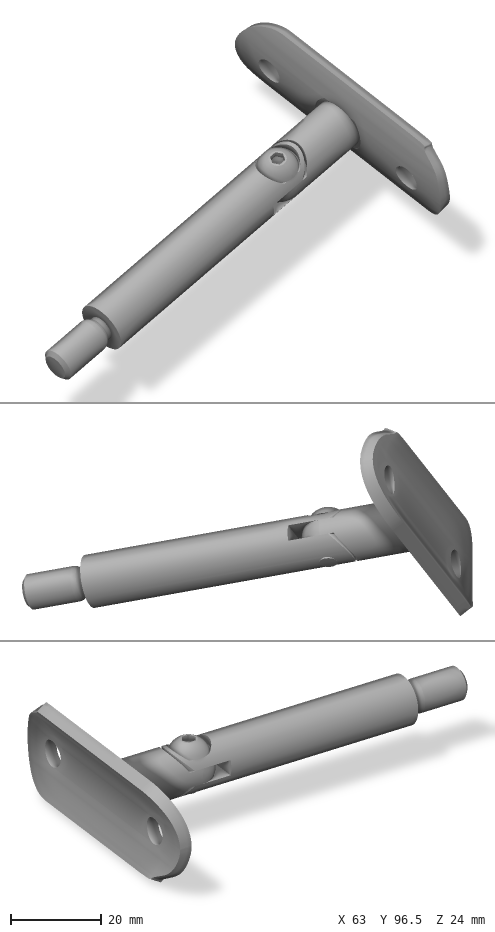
import cadquery as cq
import math


PLATE_LENGTH = 63.0
PLATE_HEIGHT = 24.0
PLATE_OUTER_RADIUS = 24.2
PLATE_THICKNESS = 3.0
PLATE_END_RADIUS = 12.0
END_CURVE_STEPS = 8
PLATE_APEX_Y = 19.3
PLATE_HOLE_DIAMETER = 6.5
PLATE_HOLE_SPACING = 42.0
SEAT_DIAMETER = 13.9
SEAT_DEPTH = 0.6

POST_DIAMETER = 12.0
TONGUE_THICKNESS = 3.9
SHOULDER_RADIUS = 6.6
FORK_END_Y = -56.5
SLOT_FLOOR_Y = -7.4
HEAD_RECESS_DIAMETER = 10.0
HEAD_RECESS_Z = 4.1

HEAD_DIAMETER = 9.5
HEAD_FLAT_DIAMETER = 4.1
HEAD_HEIGHT = 2.9
SHANK_DIAMETER = 4.1
SOCKET_WIDTH = 3.0
SOCKET_DEPTH = 1.5
SOCKET_POINT_ANGLE = 120

STUD_DIAMETER = 8.0
STUD_END_Y = -71.4
STUD_TIP_DIAMETER = 6.0
STUD_TIP_CHAMFER = 0.9
NECK_DIAMETER = 6.0
NECK_LENGTH = 1.1
NECK_CONE_DIAMETER = 7.3
NECK_CONE_LENGTH = 0.9
STUD_ROUNDING_LENGTH = 1.2
STUD_INSERT_DEPTH = 10.0

POST_RADIUS = POST_DIAMETER / 2
SEAT_Y = PLATE_APEX_Y + SEAT_DEPTH
SHANK_END_Z = -POST_RADIUS
HEAD_TOP_Z = HEAD_RECESS_Z + HEAD_HEIGHT


def rod_y(diameter, y_low, y_high):
    """Round rod along the post axis."""
    plane = cq.Workplane("XZ", origin=(0, y_low, 0))
    return plane.circle(diameter / 2).extrude(y_low - y_high)


def disc_z(diameter, z_low, z_high):
    """Round disc about the screw axis."""
    return cq.Workplane("XY").workplane(offset=z_low).circle(diameter / 2).extrude(z_high - z_low)


def wedge_outline(distance):
    """Plate outline, projected from the bend axis to a plane at the given distance from it.

    The unbent strip has round ends, so an end point's bend angle follows the sine of its position.
    """
    half_bend = math.asin(PLATE_HEIGHT / 2 / PLATE_OUTER_RADIUS)
    straight_end = PLATE_LENGTH / 2 - PLATE_END_RADIUS
    half_height = distance * math.tan(half_bend)
    right_end = []
    for step in range(END_CURVE_STEPS + 1):
        turn = math.pi * (step / END_CURVE_STEPS - 0.5)
        x = straight_end + PLATE_END_RADIUS * math.cos(turn)
        z = distance * math.tan(half_bend * math.sin(turn))
        right_end.append((x, z))
    left_end = [(-x, -z) for x, z in right_end]
    return (
        cq.Workplane("XZ", origin=(0, PLATE_APEX_Y + PLATE_OUTER_RADIUS - distance, 0))
        .moveTo(-straight_end, -half_height)
        .lineTo(straight_end, -half_height)
        .spline(right_end[1:], tangents=[(1, 0), (-1, 0)], includeCurrent=True)
        .lineTo(-straight_end, half_height)
        .spline(left_end[1:], tangents=[(-1, 0), (1, 0)], includeCurrent=True)
        .wire()
        .val()
    )


def make_radial_wedge():
    """Block whose rim runs along rays from the bend axis, as on a bent strip."""
    far_distance = PLATE_OUTER_RADIUS + PLATE_THICKNESS
    near_distance = far_distance / 2
    wires = [wedge_outline(near_distance), wedge_outline(far_distance)]
    return cq.Workplane(cq.Solid.makeLoft(wires, ruled=True))


def make_plate():
    center_y = PLATE_APEX_Y + PLATE_OUTER_RADIUS
    shell = (
        cq.Workplane("YZ", origin=(-PLATE_LENGTH / 2, center_y, 0))
        .circle(PLATE_OUTER_RADIUS)
        .circle(PLATE_OUTER_RADIUS - PLATE_THICKNESS)
        .extrude(PLATE_LENGTH)
    )
    front_plane = cq.Workplane("XZ", origin=(0, PLATE_APEX_Y, 0))
    holes = (
        front_plane.rarray(PLATE_HOLE_SPACING, 1, 2, 1)
        .circle(PLATE_HOLE_DIAMETER / 2)
        .extrude(-PLATE_OUTER_RADIUS)
    )
    seat = rod_y(SEAT_DIAMETER, PLATE_APEX_Y, SEAT_Y)
    return shell.intersect(make_radial_wedge()).cut(holes).cut(seat)


def make_stub():
    half_thickness = TONGUE_THICKNESS / 2
    rod = rod_y(POST_DIAMETER, 0, SEAT_Y)
    upper_clearance = disc_z(2 * SHOULDER_RADIUS, half_thickness, POST_RADIUS)
    lower_clearance = disc_z(2 * SHOULDER_RADIUS, -POST_RADIUS, -half_thickness)
    tongue_slab = disc_z(POST_DIAMETER, -half_thickness, half_thickness)
    tongue_end = cq.Workplane("XY").sphere(POST_RADIUS).intersect(tongue_slab)
    bore = disc_z(SHANK_DIAMETER, -half_thickness, half_thickness)
    return rod.cut(upper_clearance).cut(lower_clearance).union(tongue_end).cut(bore)


def make_fork():
    round_end = disc_z(POST_DIAMETER, -POST_RADIUS, POST_RADIUS)
    straight = (
        cq.Workplane("XY")
        .box(POST_DIAMETER, -FORK_END_Y, POST_DIAMETER, centered=(True, True, True))
        .translate((0, FORK_END_Y / 2, 0))
    )
    body = rod_y(POST_DIAMETER, FORK_END_Y, POST_RADIUS).intersect(straight.union(round_end))
    slot_length = POST_RADIUS - SLOT_FLOOR_Y
    slot = (
        cq.Workplane("XY", origin=(0, SLOT_FLOOR_Y, 0))
        .box(POST_DIAMETER, slot_length, TONGUE_THICKNESS, centered=(True, False, True))
    )
    head_recess = disc_z(HEAD_RECESS_DIAMETER, HEAD_RECESS_Z, POST_RADIUS)
    bore = disc_z(SHANK_DIAMETER, -POST_RADIUS, POST_RADIUS)
    stud_hole = rod_y(NECK_DIAMETER, FORK_END_Y, FORK_END_Y + STUD_INSERT_DEPTH)
    return body.cut(slot).cut(head_recess).cut(bore).cut(stud_hole)


def make_screw():
    head_radius = HEAD_DIAMETER / 2
    flat_radius = HEAD_FLAT_DIAMETER / 2
    sphere_drop = (head_radius**2 - flat_radius**2 - HEAD_HEIGHT**2) / (2 * HEAD_HEIGHT)
    sphere_radius = math.hypot(head_radius, sphere_drop)
    mid_radius = (head_radius + flat_radius) / 2
    mid_z = HEAD_RECESS_Z - sphere_drop + math.sqrt(sphere_radius**2 - mid_radius**2)
    screw = (
        cq.Workplane("XZ")
        .moveTo(0, SHANK_END_Z)
        .lineTo(SHANK_DIAMETER / 2, SHANK_END_Z)
        .lineTo(SHANK_DIAMETER / 2, HEAD_RECESS_Z)
        .lineTo(head_radius, HEAD_RECESS_Z)
        .threePointArc((mid_radius, mid_z), (flat_radius, HEAD_TOP_Z))
        .lineTo(0, HEAD_TOP_Z)
        .close()
        .revolve(360, (0, 0, 0), (0, 1, 0))
    )
    return screw.cut(make_socket())


def make_socket():
    """Hexagon socket with a drill point at its bottom."""
    floor_z = HEAD_TOP_Z - SOCKET_DEPTH
    hexagon = (
        cq.Workplane("XY")
        .workplane(offset=floor_z)
        .polygon(6, SOCKET_WIDTH, circumscribed=True)
        .extrude(SOCKET_DEPTH)
    )
    point_radius = SOCKET_WIDTH / 2
    point_depth = point_radius / math.tan(math.radians(SOCKET_POINT_ANGLE / 2))
    point = cq.Solid.makeCone(0, point_radius, point_depth, cq.Vector(0, 0, floor_z - point_depth))
    return hexagon.union(cq.Workplane(point))


def make_stud():
    neck_radius = NECK_DIAMETER / 2
    cone_radius = NECK_CONE_DIAMETER / 2
    stud_radius = STUD_DIAMETER / 2
    insert_y = FORK_END_Y + STUD_INSERT_DEPTH
    cone_start_y = FORK_END_Y - NECK_LENGTH
    cone_end_y = cone_start_y - NECK_CONE_LENGTH
    full_y = cone_end_y - STUD_ROUNDING_LENGTH
    rounding_rise = stud_radius - cone_radius
    rounding_radius = (STUD_ROUNDING_LENGTH**2 + rounding_rise**2) / (2 * rounding_rise)
    half_angle = math.asin(STUD_ROUNDING_LENGTH / rounding_radius) / 2
    rounding_middle = (
        stud_radius - rounding_radius * (1 - math.cos(half_angle)),
        full_y + rounding_radius * math.sin(half_angle),
    )
    return (
        cq.Workplane("XY")
        .moveTo(0, insert_y)
        .lineTo(neck_radius, insert_y)
        .lineTo(neck_radius, cone_start_y)
        .lineTo(cone_radius, cone_end_y)
        .threePointArc(rounding_middle, (stud_radius, full_y))
        .lineTo(stud_radius, STUD_END_Y + STUD_TIP_CHAMFER)
        .lineTo(STUD_TIP_DIAMETER / 2, STUD_END_Y)
        .lineTo(0, STUD_END_Y)
        .close()
        .revolve(360, (0, 0, 0), (0, 1, 0))
    )


plate = make_plate()
stub = make_stub()
fork = make_fork()
screw = make_screw()
stud = make_stud()

result = cq.Compound.makeCompound([plate.val(), stub.val(), fork.val(), screw.val(), stud.val()])